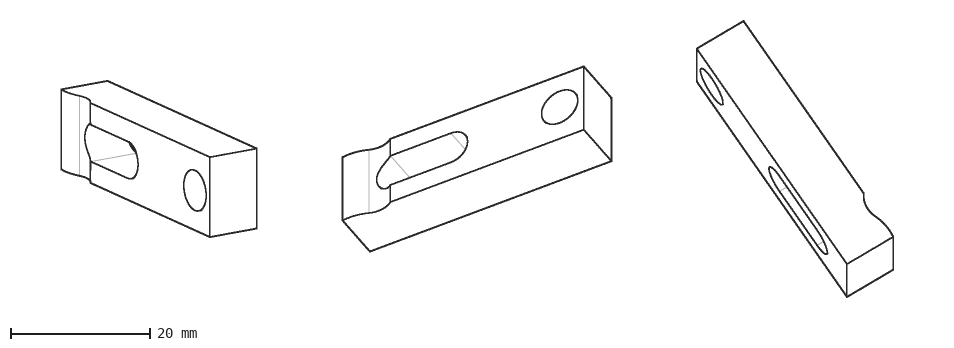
import cadquery as cq
import math

length = 40
thickness = 8
height = 12

toe_radius = 8
toe_contact_x = 1.2
relief_radius = 4
relief_end_x = 8

slot_width = 5.5
slot_start_x = 8
slot_end_x = 18
hole_diameter = 6
hole_x = 36


def point_on_circle(center, radius, angle):
    return (center[0] + radius * math.cos(angle), center[1] + radius * math.sin(angle))


def relief_center():
    """Center of the relief arc that touches the toe arc and ends on the flat face."""
    center_distance = toe_radius + relief_radius
    across = relief_end_x - toe_contact_x
    span = math.hypot(across, toe_radius)
    along = (span**2 + center_distance**2 - relief_radius**2) / (2 * span)
    end_angle = math.atan2(-toe_radius, across)
    center_angle = end_angle - math.acos(along / center_distance)
    return point_on_circle((toe_contact_x, toe_radius), center_distance, center_angle)


def bar_with_nose():
    toe_center = (toe_contact_x, toe_radius)
    relief = relief_center()
    tangent_angle = math.atan2(relief[1] - toe_center[1], relief[0] - toe_center[0])
    tangent_point = point_on_circle(toe_center, toe_radius, tangent_angle)
    toe_start = (0, toe_radius - math.sqrt(toe_radius**2 - toe_contact_x**2))
    relief_top = (relief[0], relief[1] + relief_radius)
    return (
        cq.Workplane("XY")
        .moveTo(0, thickness)
        .lineTo(*toe_start)
        .threePointArc((toe_contact_x, 0), tangent_point)
        .threePointArc(relief_top, (relief_end_x, 0))
        .lineTo(length, 0)
        .lineTo(length, thickness)
        .close()
        .extrude(height)
    )


def slot():
    center_spacing = slot_end_x - slot_start_x
    return (
        cq.Workplane("XZ")
        .center((slot_start_x + slot_end_x) / 2, height / 2)
        .slot2D(center_spacing + slot_width, slot_width)
        .extrude(-thickness)
    )


def hole():
    return (
        cq.Workplane("XZ")
        .center(hole_x, height / 2)
        .circle(hole_diameter / 2)
        .extrude(-thickness)
    )


result = bar_with_nose().cut(slot()).cut(hole())